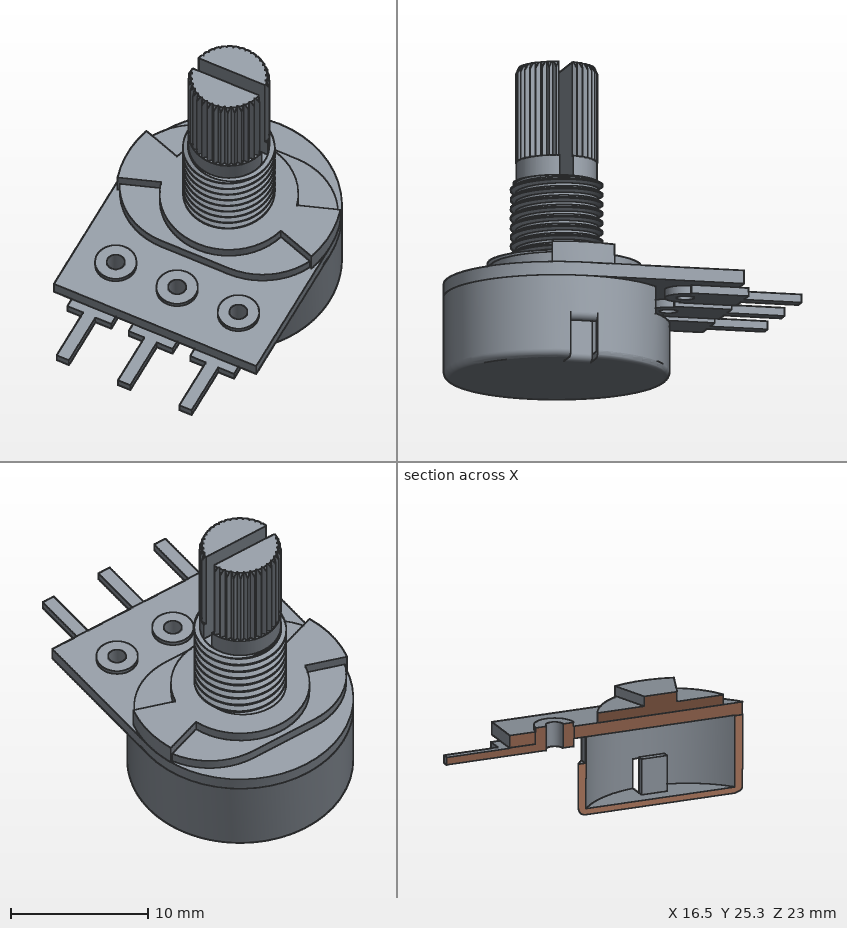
import cadquery as cq
import math


CAN_TOP = 6.0
BOARD_TOP = 7.0
OVAL_TOP = 7.75
COLLAR_TOP = 8.5
BUSHING_TOP = 14.52
KNURL_BOTTOM = 16.0
SHAFT_TOP = 23.0

BODY_WIDTH = 16.5
BODY_RADIUS = BODY_WIDTH / 2
OVERALL_LENGTH = 25.25
PIN_TIP_Y = BODY_RADIUS - OVERALL_LENGTH

SHEET = 0.5
WINDOW_SILL = 4.01
WINDOW_BACK_Y = -6.0
LANCE_WIDTH = 2.02
LANCE_HEIGHT = 3.25
LANCE_DEPTH = 1.65

BOARD_FRONT_Y = -12.0
TERMINAL_PITCH = 5.0
TERMINAL_XS = [-TERMINAL_PITCH, 0, TERMINAL_PITCH]
TERMINAL_Y = -8.4
EYELET_RADIUS = 1.52
EYELET_HEIGHT = 0.3
HOLE_RADIUS = 0.65
TERMINAL_THICKNESS = 0.6
TERMINAL_WIDTH = 3.59
SHOULDER_Y = -12.7
PIN_WIDTH = 1.0

OVAL_WIDTH = 11.0
COLLAR_RADIUS = 5.05
ARM_ROOT_HALF_WIDTH = 1.3
ARM_TIP_HALF_WIDTH = 2.35
THREAD_RADIUS = 3.35
ROOT_RADIUS = 3.0
THREAD_TURNS = 8.6
THREAD_PITCH = (BUSHING_TOP - COLLAR_TOP) / THREAD_TURNS
RIDGE_SINK = 0.08
CREST_WIDTH = 0.088
FLANK_ANGLE = 30.0
CREST_Z_AT_PLUS_X = 8.95

SHAFT_RADIUS = 2.95
KNURL_RADIUS = 2.98
KNURL_DEPTH = 0.3
TOOTH_COUNT = 36
TIP_RADIUS = 2.78
TIP_HEIGHT = 0.45
SLOT_WIDTH = 1.0


def cylinder(radius, bottom, top):
    return cq.Workplane("XY", origin=(0, 0, bottom)).circle(radius).extrude(top - bottom)


def block(x_min, x_max, y_min, y_max, z_min, z_max):
    return cq.Workplane("XY").box(
        x_max - x_min, y_max - y_min, z_max - z_min, centered=False
    ).translate((x_min, y_min, z_min))


def lance_opening():
    """Slot in the -X side and floor of the can, with a rounded edge above it."""
    half_width = LANCE_WIDTH / 2
    inner_radius = BODY_RADIUS - SHEET
    square_top = LANCE_HEIGHT - SHEET
    end_x = LANCE_DEPTH + SHEET - BODY_RADIUS
    opening = block(-BODY_RADIUS, end_x, -half_width, half_width, 0, square_top)
    arc_reach = SHEET * math.sqrt(0.5)
    rounding = (
        cq.Workplane("XZ")
        .moveTo(BODY_RADIUS, square_top)
        .lineTo(BODY_RADIUS, LANCE_HEIGHT)
        .threePointArc(
            (inner_radius + arc_reach, LANCE_HEIGHT - arc_reach), (inner_radius, square_top)
        )
        .close()
        .revolve(360, (0, 0, 0), (0, 1, 0))
        .intersect(block(-BODY_RADIUS, 0, -half_width, half_width, 0, LANCE_HEIGHT))
    )
    return opening.union(rounding)


def lance_tab():
    """Upright tab behind the slot, bent up from the floor of the can."""
    outer_x = LANCE_DEPTH - BODY_RADIUS
    inner_x = outer_x + SHEET
    arc_reach = SHEET * math.sqrt(0.5)
    return (
        cq.Workplane("XZ")
        .moveTo(inner_x, 0)
        .threePointArc((inner_x - arc_reach, SHEET - arc_reach), (outer_x, SHEET))
        .lineTo(outer_x, LANCE_HEIGHT)
        .lineTo(inner_x, LANCE_HEIGHT)
        .close()
        .extrude(LANCE_WIDTH / 2, both=True)
    )


def make_can():
    """Open-topped cup with a window at the front and a lanced tab at the -X side."""
    can = cylinder(BODY_RADIUS, 0, CAN_TOP).faces("<Z").edges().fillet(SHEET)
    can = can.cut(cylinder(BODY_RADIUS - SHEET, SHEET, CAN_TOP))
    window = block(-BODY_RADIUS, BODY_RADIUS, -BODY_RADIUS, WINDOW_BACK_Y, WINDOW_SILL, CAN_TOP)
    return can.cut(window).cut(lance_opening()).union(lance_tab())


def make_board():
    """Board with a round +Y end and holes that the terminal eyelets fill."""
    thickness = BOARD_TOP - CAN_TOP
    board = (
        cq.Workplane("XY", origin=(0, 0, CAN_TOP))
        .moveTo(-BODY_RADIUS, BOARD_FRONT_Y)
        .lineTo(BODY_RADIUS, BOARD_FRONT_Y)
        .lineTo(BODY_RADIUS, 0)
        .threePointArc((0, BODY_RADIUS), (-BODY_RADIUS, 0))
        .close()
        .extrude(thickness)
    )
    eyelet_holes = (
        cq.Workplane("XY", origin=(0, 0, CAN_TOP))
        .pushPoints([(x, TERMINAL_Y) for x in TERMINAL_XS])
        .circle(EYELET_RADIUS)
        .extrude(thickness)
    )
    return board.cut(eyelet_holes)


def make_terminal(x):
    """Flat terminal with a pin, and an eyelet that passes up through the board."""
    bottom = CAN_TOP - TERMINAL_THICKNESS
    half_width = TERMINAL_WIDTH / 2
    half_pin = PIN_WIDTH / 2
    eyelet_top = BOARD_TOP + EYELET_HEIGHT
    eyelet = cylinder(EYELET_RADIUS, bottom, eyelet_top).translate((0, TERMINAL_Y, 0))
    shoulder = block(-half_width, half_width, SHOULDER_Y, TERMINAL_Y, bottom, CAN_TOP)
    pin = block(-half_pin, half_pin, PIN_TIP_Y, SHOULDER_Y, bottom, CAN_TOP)
    hole = cylinder(HOLE_RADIUS, bottom, eyelet_top).translate((0, TERMINAL_Y, 0))
    return eyelet.union(shoulder).union(pin).cut(hole).translate((x, 0, 0))


def thread_ridge():
    """Trapezoidal helical ridge that starts and ends beyond the threaded length."""
    sunk_radius = ROOT_RADIUS - RIDGE_SINK
    half_crest = CREST_WIDTH / 2
    half_base = half_crest + (THREAD_RADIUS - sunk_radius) * math.tan(math.radians(FLANK_ANGLE))
    start_z = CREST_Z_AT_PLUS_X - 2 * THREAD_PITCH
    turns = math.ceil((BUSHING_TOP - start_z) / THREAD_PITCH) + 1
    helix = cq.Wire.makeHelix(THREAD_PITCH, turns * THREAD_PITCH, sunk_radius)
    return (
        cq.Workplane("XZ")
        .polyline([
            (sunk_radius, -half_base),
            (THREAD_RADIUS, -half_crest),
            (THREAD_RADIUS, half_crest),
            (sunk_radius, half_base),
        ])
        .close()
        .sweep(cq.Workplane(obj=helix), isFrenet=True)
        .translate((0, 0, start_z))
    )


def make_bushing():
    """Threaded bushing on an oval base, with two arms that flare out from its collar."""
    oval = (
        cq.Workplane("XY", origin=(0, 0, BOARD_TOP))
        .slot2D(BODY_WIDTH, OVAL_WIDTH)
        .extrude(OVAL_TOP - BOARD_TOP)
    )
    collar = cylinder(COLLAR_RADIUS, BOARD_TOP, COLLAR_TOP)
    root_x = math.sqrt(COLLAR_RADIUS**2 - ARM_ROOT_HALF_WIDTH**2)
    tip_x = math.sqrt(BODY_RADIUS**2 - ARM_TIP_HALF_WIDTH**2)
    arms = (
        cq.Workplane("XY", origin=(0, 0, BOARD_TOP))
        .moveTo(-tip_x, -ARM_TIP_HALF_WIDTH)
        .lineTo(-root_x, -ARM_ROOT_HALF_WIDTH)
        .lineTo(root_x, -ARM_ROOT_HALF_WIDTH)
        .lineTo(tip_x, -ARM_TIP_HALF_WIDTH)
        .threePointArc((BODY_RADIUS, 0), (tip_x, ARM_TIP_HALF_WIDTH))
        .lineTo(root_x, ARM_ROOT_HALF_WIDTH)
        .lineTo(-root_x, ARM_ROOT_HALF_WIDTH)
        .lineTo(-tip_x, ARM_TIP_HALF_WIDTH)
        .threePointArc((-BODY_RADIUS, 0), (-tip_x, -ARM_TIP_HALF_WIDTH))
        .close()
        .extrude(COLLAR_TOP - BOARD_TOP)
    )
    core = cylinder(ROOT_RADIUS, COLLAR_TOP, BUSHING_TOP)
    ridge = thread_ridge().intersect(cylinder(BODY_RADIUS, COLLAR_TOP, BUSHING_TOP))
    bore = cylinder(SHAFT_RADIUS, BOARD_TOP, BUSHING_TOP)
    return core.union(ridge).union(oval).union(collar).union(arms).cut(bore)


def make_shaft():
    """Shaft with a tapered, knurled end split by a slot down to the top of the bushing."""
    plain = cylinder(SHAFT_RADIUS, BOARD_TOP, KNURL_BOTTOM)
    tooth_points = []
    for i in range(2 * TOOTH_COUNT):
        radius = KNURL_RADIUS - KNURL_DEPTH * ((i + 1) % 2)
        angle = math.pi * i / TOOTH_COUNT
        tooth_points.append((radius * math.cos(angle), radius * math.sin(angle)))
    knurl = (
        cq.Workplane("XY", origin=(0, 0, KNURL_BOTTOM))
        .polyline(tooth_points)
        .close()
        .extrude(SHAFT_TOP - KNURL_BOTTOM)
    )
    tapered_tip = (
        cq.Workplane("XZ")
        .polyline([
            (0, KNURL_BOTTOM),
            (KNURL_RADIUS, KNURL_BOTTOM),
            (KNURL_RADIUS, SHAFT_TOP - TIP_HEIGHT),
            (TIP_RADIUS, SHAFT_TOP),
            (0, SHAFT_TOP),
        ])
        .close()
        .revolve(360, (0, 0, 0), (0, 1, 0))
    )
    slot = block(
        -BODY_RADIUS, BODY_RADIUS, -SLOT_WIDTH / 2, SLOT_WIDTH / 2, BUSHING_TOP, SHAFT_TOP
    )
    return plain.union(knurl.intersect(tapered_tip)).cut(slot)


can = make_can()
board = make_board()
bushing = make_bushing()
shaft = make_shaft()
terminals = [make_terminal(x) for x in TERMINAL_XS]

result = cq.Compound.makeCompound(
    [can.val(), board.val(), bushing.val(), shaft.val(), *[terminal.val() for terminal in terminals]]
)